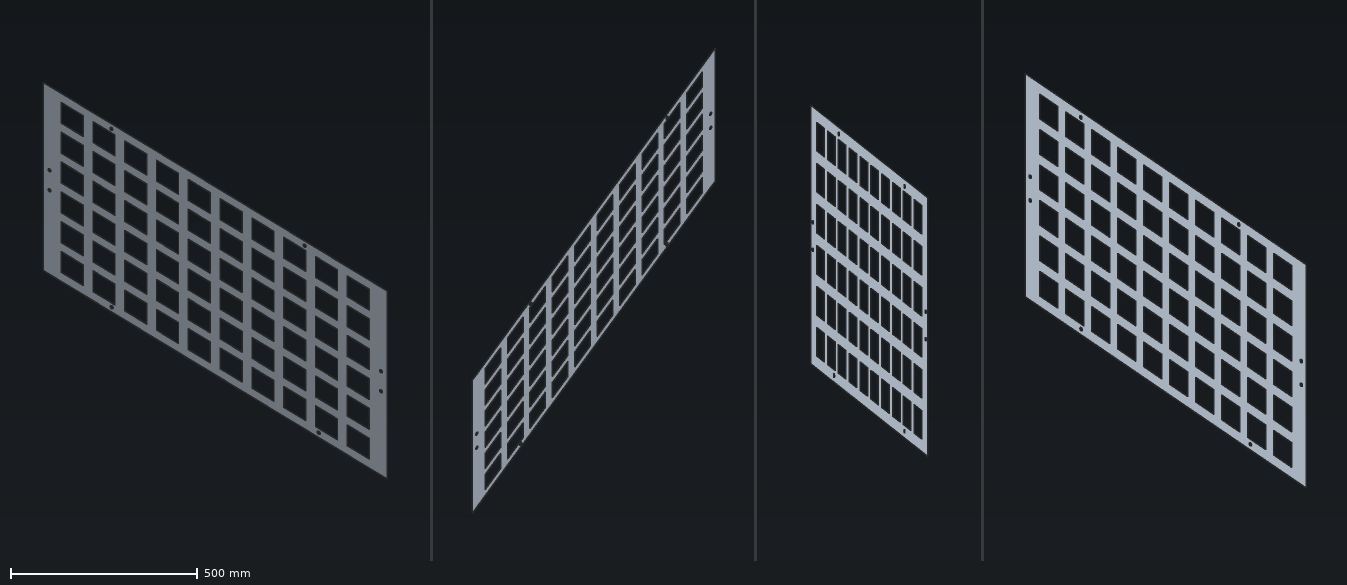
import cadquery as cq

length = 1219.0
height = 711.0
thickness = 1.5

columns = 10
rows = 6
window = 78.0
grid_side_margin = 63.0
pitch = (length - 2 * grid_side_margin - window) / (columns - 1)

hole_diameter = 10.0
side_margin = 22.0
side_hole_spacing = 75.0
lower_margin = 18.0
lower_hole_x = 367.0

upper_left_margin = 20.0
upper_left_x = -368.0
upper_right_margin = 18.0
upper_right_x = 317.0

side_x = length / 2 - side_margin
side_z = side_hole_spacing / 2
top_z = height / 2
lower_z = lower_margin - top_z

side_holes = [(x, z) for x in (-side_x, side_x) for z in (-side_z, side_z)]
lower_holes = [(x, lower_z) for x in (-lower_hole_x, lower_hole_x)]
upper_holes = [
    (upper_left_x, top_z - upper_left_margin),
    (upper_right_x, top_z - upper_right_margin),
]
fixing_holes = side_holes + lower_holes + upper_holes


def make_plate():
    return cq.Workplane("XZ").rect(length, height).extrude(thickness / 2, both=True)


def cut_windows(plate):
    windows = cq.Workplane("XZ").rarray(pitch, pitch, columns, rows).rect(window, window)
    return plate.cut(windows.extrude(thickness, both=True))


def cut_fixing_holes(plate):
    holes = cq.Workplane("XZ").pushPoints(fixing_holes).circle(hole_diameter / 2)
    return plate.cut(holes.extrude(thickness, both=True))


result = cut_fixing_holes(cut_windows(make_plate()))